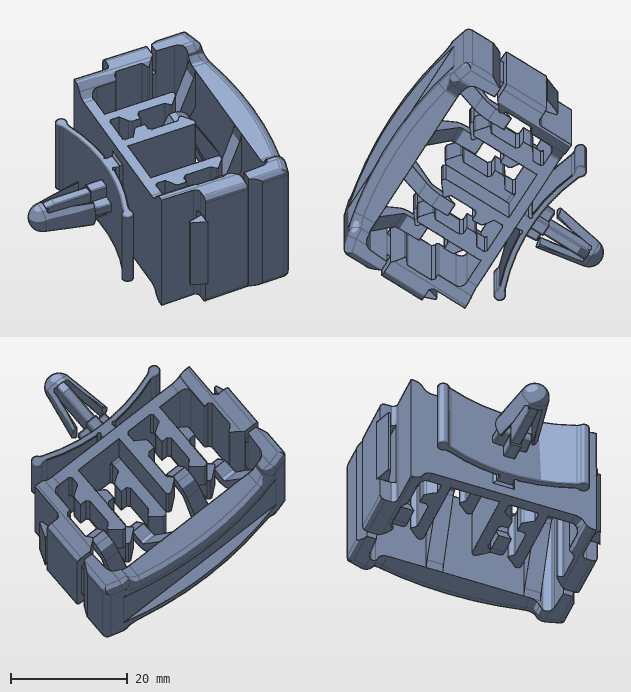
import cadquery as cq
import math


overall_width = 41.19
overall_depth = 42.8
pitch = 9.0
half_width = 20.05
middle_half_height = 10.0
waist_x = 13.15
flank_end_x = 16.65
edge_round = 1.0
rim_margin = 1.0
tolerance = 0.05
far = 60.0

housing_half_height = 12.2
housing_rim_half_height = 11.95
housing_rim_y = 15.05
floor_y = 1.9
end_shelf_x = 14.8
foot_wall_x = 17.1
shoulder_y = 6.95
shoulder_round = 0.9
channel_corner = 1.35

lip_x = 3.0
lip_y = 13.3
neck_x = 2.0
neck_top_y = 12.4
shelf_x = 3.67
shelf_y = 7.0
shelf_low_y = 5.1
root_x = 1.7
root_y = 3.8
crest_x = 0.85
crest_notch = 0.35
floor_chamfer = 0.35
shelf_chamfer = 0.5
shelf_round = 0.8
divider_floor_round = 0.5
lip_round = 0.25
neck_round = 0.4

latch_half_length = 7.2
latch_inner_x = 17.25
latch_outer_x = 19.0
relief_x = 17.6
barb_inner_x = 18.5
barb_outer_x = overall_width / 2
barb_tip_x = 19.35
barb_tip_half = 0.2
barb_tip_y = 4.35
barb_hook = 0.2

cover_half_height = 12.41
cover_top_y = 25.97
cover_inner_y = 20.77
cover_end_y = 15.7
arch_radius = 67.0
cover_corner = 1.3
cover_edge_round = 1.5
cover_taper_y = 17.85
cover_inner_round = 1.7
leg_draft = 0.3
recess_half_height = 6.85
recess_floor_y = 23.8

tongue_root_y = 20.4
tongue_root_inner_z = 8.4
tongue_root_outer_z = 1.0
tongue_foot_outer_z = 1.6
tongue_inner_z = 4.8
tongue_outer_z = 8.3
tongue_upper_tip_y = 12.6
tongue_lower_tip_y = 10.7
inner_bend_start_y = 15.66
inner_bend_middle_y = 15.3
inner_bend_end_y = 14.75
inner_bend_rise = 0.65
inner_bend_middle_rise = 0.2
outer_bend_start_y = 16.6
outer_bend_middle_y = 15.45
outer_bend_end_y = 13.9
outer_bend_rise = 2.3
outer_bend_middle_rise = 0.8
narrow_root_half = 1.4
narrow_tip_half = 1.17
wide_root_half = 1.53
wide_tip_half = 1.3

neck_half = 1.46
flare_width = 0.5
flare_height = 0.35
undercut_x = 1.65
undercut_radius = 0.35
wing_half_length = 7.45
wing_top_y = -1.47
wing_thickness = 1.13
wing_radius = 33.0
wing_edge_round = 0.15
bead_x = 12.95
bead_y = -4.45
bead_radius = 1.0
bead_blend = 1.4
block_top_x = 3.15
block_end_x = 2.95
block_half_height = 0.9
block_round = 0.25
collar_x = 1.05
collar_half_height = 3.3
collar_end_y = -5.6
anchor_base_y = -14.8
anchor_base_radius = 2.45
anchor_open_y = -6.15
anchor_open_radius = 3.97
anchor_tip_y = cover_top_y - overall_depth
arm_half_height = 2.5
arm_root_x = 1.6
arm_inner_x = 2.75
slot_bottom_y = -14.05
web_half = 0.87
web_half_height = 2.85
web_round = 0.25
web_end_y = -12.4


def mirrored(shape):
    """The shape together with its mirror image in X."""
    return shape.union(shape.mirror("YZ"))


def plate(sketch_points, half_height):
    """A closed XY outline extruded evenly about Z = 0."""
    return cq.Workplane("XY").polyline(sketch_points).close().extrude(half_height, both=True)


def box(x0, x1, y0, y1, z0, z1):
    return cq.Workplane("XY").box(x1 - x0, y1 - y0, z1 - z0, centered=False).translate((x0, y0, z0))


def waisted_outline(half_height, y):
    """H-shaped XZ outline at one Y: full height at the ends, S-shaped flanks to a lower middle."""
    rise = half_height - middle_half_height
    radius = ((flank_end_x - waist_x) ** 2 + rise ** 2) / (4 * rise)
    mid_x = (waist_x + flank_end_x) / 2
    mid_z = (middle_half_height + half_height) / 2
    end_x = half_width + rim_margin
    outline = cq.Workplane("XZ", origin=(0, y, 0)).moveTo(-end_x, -half_height)
    for z_sign in (-1, 1):
        turn = -z_sign
        outline = (
            outline.lineTo(-turn * flank_end_x, z_sign * half_height)
            .radiusArc((-turn * mid_x, z_sign * mid_z), -radius)
            .radiusArc((-turn * waist_x, z_sign * middle_half_height), radius)
            .lineTo(turn * waist_x, z_sign * middle_half_height)
            .radiusArc((turn * mid_x, z_sign * mid_z), radius)
            .radiusArc((turn * flank_end_x, z_sign * half_height), -radius)
            .lineTo(turn * end_x, z_sign * half_height)
        )
        if z_sign < 0:
            outline = outline.lineTo(end_x, half_height)
    return outline.close().wires().val()


def waisted_prism(start_half_height, start_y, end_half_height, end_y):
    """H-shaped bar along Y whose end walls taper in height from one end to the other."""
    return cq.Workplane("XY").add(cq.Solid.makeLoft(
        [waisted_outline(start_half_height, start_y), waisted_outline(end_half_height, end_y)], True))


def round_corners(body, corners):
    """Round the Z-parallel edges at the given (x, y, radius) corners."""
    reach = tolerance
    for x, y, radius in corners:
        near = cq.selectors.BoxSelector((x - reach, y - reach, -far), (x + reach, y + reach, far))
        body = body.edges("|Z").edges(near).fillet(radius)
    return body


def end_wall():
    """Right end wall: lower wall, shoulder, and a lipped head over it."""
    arc_mid = shoulder_round * (1 - math.sqrt(0.5))
    corner_mid = channel_corner * (1 - math.sqrt(0.5))
    inner_x = 2 * pitch - neck_x
    lip_tip_x = 2 * pitch - lip_x
    wall = (
        cq.Workplane("XY").moveTo(waist_x, 0).lineTo(foot_wall_x, 0)
        .lineTo(foot_wall_x, shoulder_y - shoulder_round)
        .threePointArc((foot_wall_x + arc_mid, shoulder_y - arc_mid),
                       (foot_wall_x + shoulder_round, shoulder_y))
        .lineTo(half_width, shoulder_y).lineTo(half_width, housing_rim_y)
        .lineTo(foot_wall_x, housing_rim_y).lineTo(lip_tip_x, lip_y)
        .lineTo(inner_x, neck_top_y).lineTo(inner_x, shelf_y + shelf_chamfer)
        .lineTo(inner_x - shelf_chamfer, shelf_y).lineTo(end_shelf_x, shelf_y)
        .lineTo(end_shelf_x, floor_y + channel_corner)
        .threePointArc((end_shelf_x - corner_mid, floor_y + corner_mid),
                       (end_shelf_x - channel_corner, floor_y))
        .lineTo(waist_x, floor_y).close()
        .extrude(housing_half_height, both=True)
    )
    return round_corners(wall, [
        (lip_tip_x, lip_y, lip_round), (inner_x, neck_top_y, neck_round),
        (end_shelf_x, shelf_y, lip_round),
    ])


def half_divider():
    """The +X, +Z half of a divider, contoured along its channel side."""
    contour = (
        cq.Workplane("XY")
        .polyline([
            (0, 0), (root_x + floor_chamfer, 0), (root_x + floor_chamfer, floor_y),
            (root_x, floor_y + floor_chamfer), (root_x, root_y), (shelf_x, shelf_low_y),
            (shelf_x, shelf_y), (neck_x + shelf_chamfer, shelf_y), (neck_x, shelf_y + shelf_chamfer),
            (neck_x, neck_top_y), (lip_x, lip_y), (crest_x, housing_rim_y),
            (crest_notch, housing_rim_y), (0, housing_rim_y - crest_notch),
        ])
        .close().extrude(middle_half_height)
    )
    contour = round_corners(contour, [
        (shelf_x, shelf_low_y, shelf_round), (neck_x, neck_top_y, neck_round),
        (lip_x, lip_y, lip_round), (crest_x, housing_rim_y, lip_round),
    ])
    root_fillet = (
        cq.Workplane("YZ").moveTo(floor_y, 0).lineTo(floor_y + divider_floor_round, 0)
        .radiusArc((floor_y, -divider_floor_round), -divider_floor_round).close().extrude(root_x)
    )
    return contour.union(root_fillet)


def divider(x, side):
    """Two contoured halves back to back: the one toward side fills Z > 0, the other Z < 0."""
    half = half_divider()
    body = half.union(half.rotate((0, 0, 0), (0, 1, 0), 180))
    if side < 0:
        body = body.mirror("YZ")
    return body.translate((x, 0, 0))


def anchor():
    """Push-in anchor: domed cone split into two arms around a stiff web."""
    slope = (anchor_open_radius - anchor_base_radius) / (anchor_open_y - anchor_base_y)
    dome_height = anchor_base_y - anchor_tip_y
    dome_radius = (anchor_base_radius ** 2 + dome_height ** 2) / (2 * dome_height)
    cone = (
        cq.Workplane("XY").moveTo(0, anchor_tip_y)
        .radiusArc((anchor_base_radius, anchor_base_y), -dome_radius)
        .lineTo(anchor_open_radius, anchor_open_y).lineTo(0, anchor_open_y).close()
        .revolve(360, (0, 0, 0), (0, 1, 0))
    )
    for z_sign in (-1, 1):
        trim = box(-far, far, slot_bottom_y, far, arm_half_height, far)
        cone = cone.cut(trim if z_sign > 0 else trim.mirror("XY"))
    root_half_height = anchor_base_radius + slope * (slot_bottom_y - anchor_base_y)
    slot_round_y = slot_bottom_y + (arm_root_x - web_half) / 2
    slot = (
        cq.Workplane("XY").moveTo(0, anchor_open_y).lineTo(arm_inner_x, anchor_open_y)
        .lineTo(arm_root_x, slot_round_y)
        .threePointArc(((arm_root_x + web_half) / 2, slot_bottom_y), (web_half, slot_round_y))
        .lineTo(0, slot_round_y).close().extrude(far, both=True)
    )
    web = (
        cq.Workplane("YZ").polyline([
            (wing_top_y - wing_thickness / 2, -web_half_height), (web_end_y, -web_half_height),
            (slot_bottom_y, -root_half_height), (slot_bottom_y, root_half_height),
            (web_end_y, web_half_height), (wing_top_y - wing_thickness / 2, web_half_height),
        ]).close().extrude(web_half, both=True)
    )
    web = web.edges("#X").fillet(web_round)
    return cone.cut(mirrored(slot)).union(web)


def foot():
    """Curved spring wing on a short neck, carrying the push-in anchor."""
    bottom_y = wing_top_y - wing_thickness

    def wing_y(x, crown_y):
        return crown_y - wing_radius + math.sqrt(wing_radius ** 2 - x ** 2)

    wing = (
        cq.Workplane("XY").moveTo(-bead_x, wing_y(bead_x, wing_top_y))
        .threePointArc((0, wing_top_y), (bead_x, wing_y(bead_x, wing_top_y)))
        .lineTo(bead_x, wing_y(bead_x, bottom_y))
        .threePointArc((0, bottom_y), (-bead_x, wing_y(bead_x, bottom_y)))
        .close().extrude(wing_half_length, both=True)
    )
    bead = cq.Workplane("XY").center(bead_x, bead_y).circle(bead_radius).extrude(wing_half_length, both=True)
    wing = wing.union(mirrored(bead))
    bead_joints = wing.edges("|Z").edges(cq.selectors.BoxSelector(
        (-bead_x, -far, -far), (bead_x, far, far)))
    wing = bead_joints.fillet(bead_blend)
    wing = wing.edges("not |Z").fillet(wing_edge_round)

    neck = box(-neck_half, neck_half, bottom_y + wing_thickness / 2, 0, -wing_half_length, wing_half_length)
    neck = neck.edges("|Y").fillet(wing_edge_round)
    undercut = cq.Workplane("XY").center(undercut_x, wing_top_y).circle(undercut_radius)
    undercut = undercut.extrude(far, both=True)
    flare = (
        cq.Workplane("XZ").rect(2 * neck_half + 2 * flare_width, 2 * wing_half_length + 2 * flare_width)
        .workplane(offset=flare_height).rect(2 * neck_half, 2 * wing_half_length).loft()
    )
    block = plate([(-block_top_x, bottom_y), (block_top_x, bottom_y),
                   (block_end_x, collar_end_y), (-block_end_x, collar_end_y)], block_half_height)
    collar = box(-collar_x, collar_x, collar_end_y, bottom_y + wing_edge_round,
                 -collar_half_height, collar_half_height)
    block = block.edges("not >Y").fillet(block_round)
    collar = collar.edges("|Y").fillet(block_round)
    return wing.union(neck).cut(mirrored(undercut)).union(flare).union(block).union(collar).union(anchor())


def make_housing():
    body = mirrored(end_wall()).union(
        box(-waist_x, waist_x, 0, floor_y, -housing_half_height, housing_half_height))
    body = body.intersect(
        waisted_prism(housing_half_height, 0, housing_rim_half_height, housing_rim_y))
    for side in (-1, 1):
        head_side = body.faces(">X" if side > 0 else "<X").edges("not |Z")
        flank_edges = [edge for edge in head_side.vals() if abs(edge.Center().z) > middle_half_height]
        body = body.newObject(flank_edges).fillet(edge_round)
    for x, side in ((-pitch, 1), (0, -1), (pitch, 1)):
        body = body.union(divider(x, side))
    slot = box(latch_inner_x, latch_outer_x, shoulder_y - shoulder_round, far,
               -latch_half_length, latch_half_length)
    return body.cut(mirrored(slot)).union(foot())


def arch_y(x):
    return cover_top_y - arch_radius + math.sqrt(arch_radius ** 2 - x ** 2)


def arched_slab(side_x, corner_round, rim_round):
    """Waisted slab under the arch, its corners at side_x rounded, then its arched rim filleted."""
    outline = (
        cq.Workplane("XY").moveTo(-side_x, cover_end_y).lineTo(-side_x, arch_y(side_x))
        .threePointArc((0, cover_top_y), (side_x, arch_y(side_x)))
        .lineTo(side_x, cover_end_y).close().extrude(cover_half_height, both=True)
    )
    if corner_round:
        outline = round_corners(outline, [(side * side_x, arch_y(side_x), corner_round) for side in (-1, 1)])
    slab = outline.intersect(waisted_prism(cover_half_height, 0, cover_half_height, far))
    rim = []
    for edge in slab.edges().vals():
        middle = edge.Center()
        on_flank = abs(middle.z) > middle_half_height - tolerance
        on_arch = abs(middle.x) < side_x - tolerance and middle.y > cover_inner_y + tolerance
        if on_flank and on_arch:
            rim.append(edge)
    return slab.newObject(rim).fillet(rim_round)


def cover_shell():
    """Arched cap with two end legs, rounded all along its outer rims."""
    cap = arched_slab(half_width, cover_corner, edge_round)
    cap = cap.intersect(arched_slab(half_width + rim_margin, 0, cover_edge_round))
    taper = plate([(half_width, cover_taper_y), (latch_outer_x, cover_end_y), (far, cover_end_y),
                   (far, cover_taper_y)], far)
    cap = cap.cut(mirrored(taper))

    inner_top_x = latch_inner_x - leg_draft
    inside = plate([(-latch_inner_x, cover_end_y), (latch_inner_x, cover_end_y),
                    (inner_top_x, cover_inner_y), (-inner_top_x, cover_inner_y)], far)
    inside = round_corners(inside, [
        (side * inner_top_x, cover_inner_y, cover_inner_round) for side in (-1, 1)])
    recess = box(-far, far, recess_floor_y, far, -recess_half_height, recess_half_height)
    return cap.cut(inside).cut(recess)


def latch():
    """Right latch: a tapered leg through the housing wall, barbed under its shoulder."""
    tip_inner_x = barb_tip_x - barb_tip_half
    inner_lean = (tip_inner_x - barb_inner_x) / (shoulder_y - barb_tip_y)
    relief_y = shoulder_y + (barb_inner_x - relief_x) / inner_lean
    return plate([
        (latch_outer_x, cover_end_y), (latch_inner_x, cover_end_y), (latch_inner_x, housing_rim_y),
        (relief_x, relief_y), (tip_inner_x, barb_tip_y), (barb_tip_x + barb_tip_half, barb_tip_y),
        (barb_outer_x, shoulder_y + barb_hook), (half_width, shoulder_y), (latch_outer_x, shoulder_y),
    ], latch_half_length)


def tongue(x, bend_side, root_half_width, tip_half_width):
    """Spring tongue, bent near its tip; bend_side (+1 or -1) is the Z side of the bend's outside."""
    if bend_side > 0:
        outer_tip_y, inner_tip_y = tongue_upper_tip_y, tongue_lower_tip_y
    else:
        outer_tip_y, inner_tip_y = tongue_lower_tip_y, tongue_upper_tip_y

    def at(y, z):
        return (y, z * bend_side)

    profile = (
        cq.Workplane("YZ").moveTo(*at(cover_inner_y, -middle_half_height))
        .lineTo(*at(tongue_root_y, -tongue_root_inner_z))
        .lineTo(*at(inner_bend_start_y, tongue_inner_z - inner_bend_rise))
        .threePointArc(at(inner_bend_middle_y, tongue_inner_z - inner_bend_middle_rise),
                       at(inner_bend_end_y, tongue_inner_z))
        .lineTo(*at(inner_tip_y, tongue_inner_z)).lineTo(*at(outer_tip_y, tongue_outer_z))
        .lineTo(*at(outer_bend_end_y, tongue_outer_z))
        .threePointArc(at(outer_bend_middle_y, tongue_outer_z - outer_bend_middle_rise),
                       at(outer_bend_start_y, tongue_outer_z - outer_bend_rise))
        .lineTo(*at(tongue_root_y, -tongue_root_outer_z))
        .lineTo(*at(cover_inner_y, -tongue_foot_outer_z)).close()
        .extrude(pitch / 2, both=True)
    )
    sides = plate([(-root_half_width, cover_inner_y), (root_half_width, cover_inner_y),
                   (tip_half_width, tongue_lower_tip_y), (-tip_half_width, tongue_lower_tip_y)], far)
    return profile.intersect(sides).translate((x, 0, 0))


def make_cover():
    body = cover_shell().union(mirrored(latch()))
    for index in range(4):
        x = (index - 1.5) * pitch
        if index % 2 == 0:
            body = body.union(tongue(x, -1, narrow_root_half, narrow_tip_half))
        else:
            body = body.union(tongue(x, 1, wide_root_half, wide_tip_half))
    return body


housing = make_housing()
cover = make_cover()
result = cq.Compound.makeCompound([housing.val(), cover.val()])